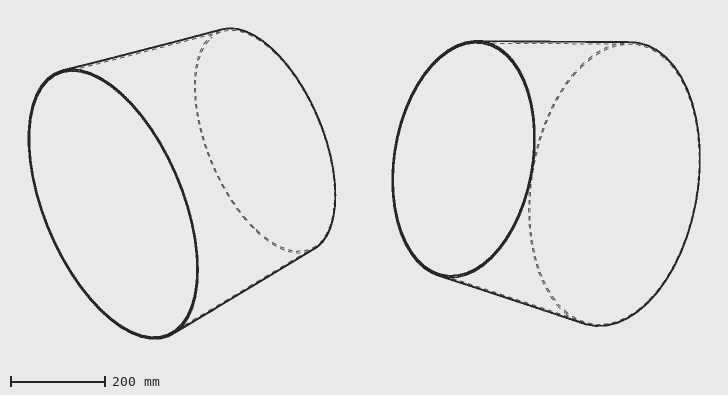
import cadquery as cq

large_diameter = 609.5
small_diameter = 508.0
length = 400.0
wall = 4.0

large_radius = large_diameter / 2
small_radius = small_diameter / 2

wall_section = (
    cq.Workplane("XY")
    .moveTo(large_radius - wall, 0)
    .lineTo(large_radius, 0)
    .lineTo(small_radius, length)
    .lineTo(small_radius - wall, length)
    .close()
)

result = wall_section.revolve(360, (0, 0, 0), (0, 1, 0))